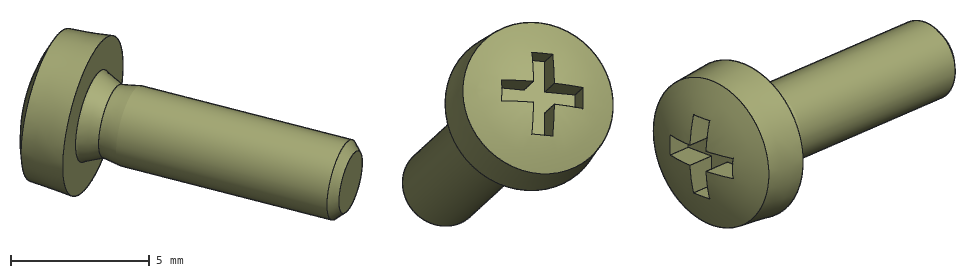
import cadquery as cq
import math

overall_length = 12.37
shank_radius = 3.0 / 2

head_base_x = 2.36
head_base_radius = 3.0
rim_x = 0.69
rim_radius = 2.86

collar_base_radius = 1.73
collar_x = 2.44
collar_radius = 1.68
waist_x = 3.12
waist_radius = 1.37
shank_start_x = 3.86
tip_chamfer = 0.33

slot_width = 0.79
slot_length = 3.09
slot_floor_x = 1.14

corner_radius = math.hypot(slot_width / 2, slot_width / 2)
dome_center_x = (rim_x**2 + rim_radius**2 - corner_radius**2) / (2 * rim_x)
dome_radius = math.hypot(dome_center_x, corner_radius)
apex_x = dome_center_x - dome_radius

half_angle = math.asin(rim_radius / dome_radius) / 2
dome_mid = (
    dome_center_x - dome_radius * math.cos(half_angle),
    dome_radius * math.sin(half_angle),
)


def make_body():
    """Head, waisted neck and chamfered shank, revolved about X."""
    profile = (
        cq.Workplane("XY")
        .moveTo(apex_x, 0)
        .threePointArc(dome_mid, (rim_x, rim_radius))
        .lineTo(head_base_x, head_base_radius)
        .lineTo(head_base_x, collar_base_radius)
        .lineTo(collar_x, collar_radius)
        .lineTo(waist_x, waist_radius)
        .lineTo(shank_start_x, shank_radius)
        .lineTo(overall_length - tip_chamfer, shank_radius)
        .lineTo(overall_length, shank_radius - tip_chamfer)
        .lineTo(overall_length, 0)
        .close()
    )
    return profile.revolve(360, (0, 0, 0), (1, 0, 0))


def make_cross_recess():
    """Two crossed slots with a flat floor inside the head."""
    depth = slot_floor_x - apex_x
    sketch_plane = cq.Workplane("YZ", origin=(apex_x, 0, 0))
    across = sketch_plane.rect(slot_length, slot_width).extrude(depth)
    upright = sketch_plane.rect(slot_width, slot_length).extrude(depth)
    return across.union(upright)


result = make_body().cut(make_cross_recess())